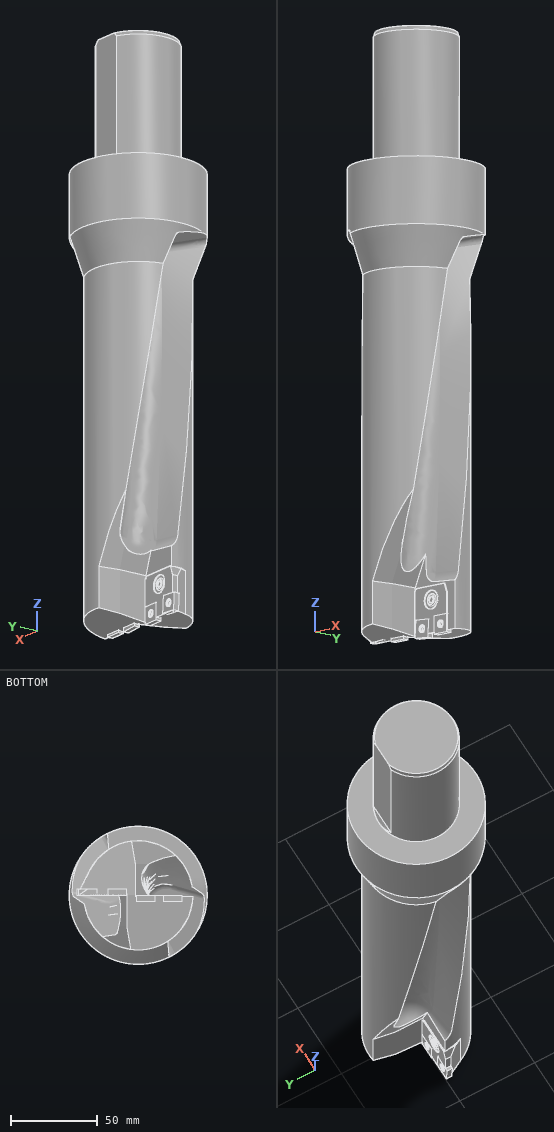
import cadquery as cq
import math

total_length = 357.0
shank_diameter = 50.0
shank_chamfer_width = 0.9
shank_chamfer_height = 2.5
flat_y = 23.0
flat_bottom = 279.5
flat_runout_angle = 45.0
collar_diameter = 80.0
collar_top = 277.0
collar_bottom = 237.0
cone_bottom = 213.5
shaft_diameter = 63.2
shaft_radius = shaft_diameter / 2
point_height = 2.0
point_angle = 6.0

clearance = 18.0
outside = collar_diameter / 2 + clearance

twist_rate = 0.2885
reference_height = 50.0
inner_flute_bottom = 27.0
outer_flute_bottom = 40.5
flute_bottom_fillet = 11.5
flute_top = 231.7
flute_end_tilt = 13.0
flute_top_fillet = 3.5
gullet_radius = 12.5
gullet_x = 15.0
gullet_y = -9.0
flank_angle = 7.0
back_wall_angle = -36.0

land_y = 0.7
wall_x = -1.6
wall_bend_y = -18.0
wall_edge_x = -4.0
pocket_height = 30.7
inner_wall_lean = 25.0
outer_wall_lean = 19.0
lean_height = 78.5

cartridge_width = 26.8
cartridge_height = 30.0
cartridge_depth = 13.0
cartridge_rim_depth = 3.5
cartridge_relief = 4.5
cartridge_chamfer_width = 2.0
cartridge_chamfer_height = 6.0
cartridge_corner = 1.5
inner_cartridge_end = 25.5
outer_cartridge_end = 33.5
outer_pocket_shift = outer_cartridge_end - inner_cartridge_end
clamp_diameter = 11.0
clamp_recess = 2.5
clamp_tip_diameter = 5.7
clamp_socket = 4.0
clamp_from_end = 13.2
clamp_z = 21.8

insert_size = 10.7
insert_thickness = 3.5
insert_countersink = 4.5
insert_hole = 4.0
countersink_depth = 1.0
screw_recess = 0.5
screw_socket = 3.0
socket_depth = 1.5
tip_insert_tilt = 4.0
insert_places = [
    (4.5, 0.0, tip_insert_tilt, 0),
    (20.0, 1.0, 0.0, 0),
    (12.0, 0.7, 0.0, 180),
    (29.5, 2.0, tip_insert_tilt, 180),
]


def turn_about_axis(shape, angle):
    return shape.rotate((0, 0, 0), (0, 0, 1), angle)


def on_circle(angle):
    """Point of the gullet circle in the given direction from its centre."""
    a = math.radians(angle)
    return (gullet_x + gullet_radius * math.cos(a), gullet_y + gullet_radius * math.sin(a))


def beyond(point, angle, length):
    a = math.radians(angle)
    return (point[0] + length * math.cos(a), point[1] + length * math.sin(a))


def make_blank():
    """Turned shape: shank, collar, cone and shaft, with a clamping flat on the shank."""
    shank_radius = shank_diameter / 2
    collar_radius = collar_diameter / 2
    blank = (
        cq.Workplane("XZ")
        .moveTo(0, 0)
        .lineTo(shaft_radius, 0)
        .lineTo(shaft_radius, cone_bottom)
        .lineTo(collar_radius, collar_bottom)
        .lineTo(collar_radius, collar_top)
        .lineTo(shank_radius, collar_top)
        .lineTo(shank_radius, total_length - shank_chamfer_height)
        .lineTo(shank_radius - shank_chamfer_width, total_length)
        .lineTo(0, total_length)
        .close()
        .revolve(360, (0, 0), (0, 1))
    )
    runout_height = (shank_radius - flat_y) * math.tan(math.radians(flat_runout_angle))
    above_flat = (
        cq.Workplane("YZ")
        .polyline([
            (flat_y, flat_bottom),
            (shank_radius, flat_bottom - runout_height),
            (shank_radius, total_length),
            (flat_y, total_length),
        ])
        .close()
        .extrude(shank_radius, both=True)
    )
    return blank.cut(above_flat)


def make_point_cutter():
    """Space below the roof-shaped shaft end."""
    rise = outside * math.tan(math.radians(point_angle))
    return (
        cq.Workplane("YZ")
        .polyline([
            (-outside, point_height + rise),
            (0, point_height),
            (outside, point_height + rise),
            (outside, -clearance),
            (-outside, -clearance),
        ])
        .close()
        .extrude(outside, both=True)
    )


def make_flute(bottom):
    """Helical groove: flat flank, round gullet and flat back wall, closed by a tilted end."""
    flank_start = on_circle(flank_angle + 90)
    back_wall_start = on_circle(back_wall_angle - 90)
    gullet_bottom = on_circle((flank_angle + back_wall_angle) / 2 + 180)
    length = flute_top + clearance - bottom
    flute = (
        cq.Workplane("XY")
        .workplane(offset=bottom)
        .moveTo(*beyond(flank_start, flank_angle, outside))
        .lineTo(*flank_start)
        .threePointArc(gullet_bottom, back_wall_start)
        .lineTo(*beyond(back_wall_start, back_wall_angle, outside))
        .close()
        .twistExtrude(length, length * twist_rate)
        .rotate((0, 0, 0), (0, 0, 1), (bottom - reference_height) * twist_rate)
    )
    above_end = (
        cq.Workplane("XY")
        .box(4 * outside, 4 * outside, 4 * clearance, centered=(True, True, False))
        .rotate((0, 0, 0), (1, 0, 0), flute_end_tilt)
        .translate((0, 0, flute_top))
    )
    flute = flute.cut(above_end)
    flute = flute.faces("<Z").edges().fillet(flute_bottom_fillet)
    return flute.faces(">Z").edges().fillet(flute_top_fillet)


def make_pocket(wall_shift, wall_lean):
    """Open quarter at the tip whose wall leans over the pocket above it."""
    edge_slope = (wall_edge_x - wall_x) / (-shaft_radius - wall_bend_y)
    far_x = wall_x + edge_slope * (-outside - wall_bend_y)
    outline = [
        (wall_x + wall_shift, land_y),
        (wall_x + wall_shift, wall_bend_y),
        (far_x + wall_shift, -outside),
        (2 * outside, -outside),
        (2 * outside, land_y),
    ]
    lean_shift = lean_height * math.tan(math.radians(wall_lean))
    leaning_outline = [(x + lean_shift, y) for x, y in outline]
    lower = (
        cq.Workplane("XY")
        .workplane(offset=-clearance)
        .polyline(outline)
        .close()
        .extrude(pocket_height + clearance)
    )
    upper = (
        cq.Workplane("XY")
        .workplane(offset=pocket_height)
        .polyline(outline)
        .close()
        .workplane(offset=lean_height)
        .polyline(leaning_outline)
        .close()
        .loft(ruled=True)
    )
    return lower.union(upper)


def make_cartridge(end_x):
    """Insert carrier behind the plane Y = 0 with a relieved outer side and a conical clamp screw."""
    inner_x = end_x - cartridge_width
    cartridge = (
        cq.Workplane("XY")
        .polyline([
            (inner_x, 0),
            (end_x, 0),
            (end_x, cartridge_rim_depth),
            (end_x - cartridge_relief, cartridge_depth),
            (inner_x, cartridge_depth),
        ])
        .close()
        .extrude(cartridge_height)
    )
    outer_corner = (
        cq.Workplane("XZ")
        .polyline([
            (end_x, cartridge_height),
            (end_x - cartridge_chamfer_width, cartridge_height),
            (end_x, cartridge_height - cartridge_chamfer_height),
        ])
        .close()
        .extrude(-cartridge_depth)
    )
    inner_corner = (
        cq.Workplane("XZ")
        .polyline([
            (inner_x, cartridge_height),
            (inner_x + cartridge_corner, cartridge_height),
            (inner_x, cartridge_height - cartridge_corner),
        ])
        .close()
        .extrude(-cartridge_depth)
    )
    clamp_plane = cq.Workplane("XZ", origin=(end_x - clamp_from_end, 0, clamp_z))
    clamp_bore = clamp_plane.circle(clamp_diameter / 2).extrude(-clamp_recess)
    clamp_head = cq.Workplane(
        cq.Solid.makeCone(
            clamp_tip_diameter / 2,
            clamp_diameter / 2,
            clamp_recess,
            cq.Vector(end_x - clamp_from_end, 0, clamp_z),
            cq.Vector(0, 1, 0),
        )
    )
    socket = clamp_plane.polygon(6, clamp_socket).extrude(-clamp_recess)
    return cartridge.cut(outer_corner).cut(inner_corner).cut(clamp_bore.cut(clamp_head).union(socket))


def place_insert_part(shape, place):
    """Move a shape from the insert's centre to its seat."""
    centre_x, lowest_z, tilt, turn = place
    a = math.radians(tilt)
    centre_z = lowest_z + insert_size / 2 * (math.cos(a) + math.sin(a))
    placed = shape.rotate((0, 0, 0), (0, 1, 0), tilt).translate((centre_x, 0, centre_z))
    return turn_about_axis(placed, turn)


def make_insert_blank():
    return cq.Workplane("XZ").rect(insert_size, insert_size).extrude(-insert_thickness)


def make_insert():
    """Square insert with a countersunk hole."""
    hole = cq.Workplane("XZ").circle(insert_hole / 2).extrude(-insert_thickness)
    countersink = cq.Solid.makeCone(
        insert_countersink / 2, insert_hole / 2, countersink_depth, cq.Vector(0, 0, 0), cq.Vector(0, 1, 0)
    )
    return make_insert_blank().cut(hole).cut(cq.Workplane(countersink))


def make_insert_screw():
    """Screw filling the insert hole, with a round socket."""
    length = insert_thickness - screw_recess
    return (
        cq.Workplane("XZ", origin=(0, screw_recess, 0))
        .circle(insert_hole / 2)
        .extrude(-length)
        .faces("<Y")
        .workplane()
        .circle(screw_socket / 2)
        .cutBlind(-socket_depth)
    )


def make_body():
    body = make_blank()
    body = body.cut(make_flute(inner_flute_bottom))
    body = body.cut(turn_about_axis(make_flute(outer_flute_bottom), 180))
    body = body.cut(make_pocket(0, inner_wall_lean))
    body = body.cut(turn_about_axis(make_pocket(outer_pocket_shift, outer_wall_lean), 180))
    body = body.union(make_cartridge(inner_cartridge_end))
    body = body.union(turn_about_axis(make_cartridge(outer_cartridge_end), 180))
    body = body.cut(make_point_cutter())
    for place in insert_places:
        body = body.cut(place_insert_part(make_insert_blank(), place))
        body = body.union(place_insert_part(make_insert_screw(), place))
    return body


body = make_body()
inserts = [place_insert_part(make_insert(), place) for place in insert_places]

result = cq.Compound.makeCompound([body.val(), *[insert.val() for insert in inserts]])